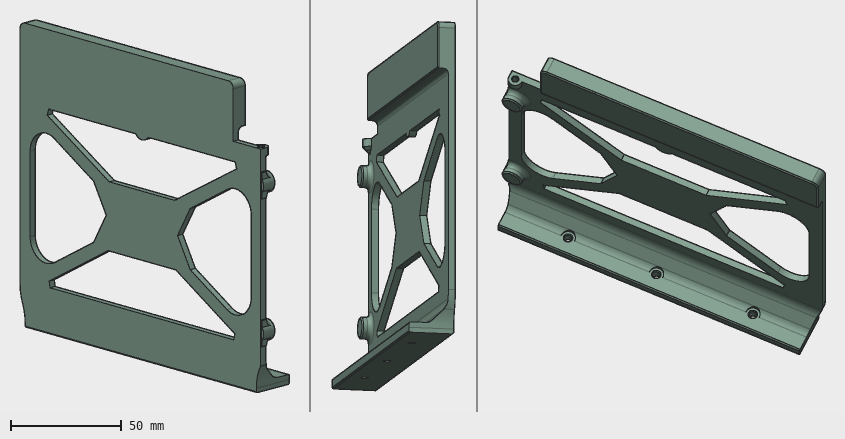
import cadquery as cq
import math

overall_width = 157.6
plate_width = 156.2
plate_thickness = 3.3
total_height = 142.7
small_chamfer = 0.6

bar_length = 138.4
bar_thickness = 8.2
bar_bottom = 120.9
bar_root_radius = 2.4
bar_corner_radius = 3.2
shoulder_height = 114.9

foot_depth = 20.8
foot_thickness = 4.7
root_chamfer = 7.9
root_lower_radius = 5.0
root_upper_radius = 7.0

foot_left = 3.3
foot_right = 153.4
end_curve_bottom = 2.2
left_curve_top = 19.7
right_curve_top = 13.2

center_x = 79.1
center_z = 63.4
strut_slope = math.tan(math.radians(30))
top_window_points = [(21.1, 79.5), (61.5, 102.5), (60.5, 105.5)]
bottom_window_points = [(22.0, 47.0), (60.2, 24.9), (59.6, 21.9)]
side_window_left = 6.6
side_window_right = 150.0
side_apex_offset = 23.2
side_shoulder_offset = 31.4
side_shoulder_rise = 14.3
side_window_radius = 10.4

tab_radius = 4.9
tab_drop = 2.0

foot_hole_xs = (30.1, 78.2, 122.2)
foot_hole_y = 13.1
foot_hole_diameter = 3.3
foot_countersink_diameter = 4.3
spotface_diameter = 6.6

boss_diameter = 10.0
boss_front = 0.5
boss_back = 8.2
boss_chamfer = 0.6
boss_root_radius = 2.4
boss_x = overall_width - boss_diameter / 2
boss_zs = (28.4, 97.7)
flange_right = 156.7

screw_x = 153.0
screw_boss_radius = 3.3
screw_boss_bottom = 111.3
screw_hole_diameter = 2.7
screw_countersink_diameter = 3.3
screw_hole_depth = 5.0


def extrude_back(sketch, depth):
    """Extrude an XZ sketch towards +Y."""
    return sketch.extrude(-depth)


def arc_radius(step, rise):
    """Radius of an arc that starts along Z and moves sideways by step over the given rise."""
    return (step**2 + rise**2) / (2 * step)


def front_outline():
    """Outer XZ shape, as deep as the foot."""
    left_middle = (foot_left / 2, (left_curve_top + end_curve_bottom) / 2)
    left_radius = arc_radius(foot_left / 2, (left_curve_top - end_curve_bottom) / 2)
    right_radius = arc_radius(plate_width - foot_right, right_curve_top - end_curve_bottom)
    sketch = (
        cq.Workplane("XZ")
        .moveTo(0, total_height)
        .lineTo(bar_length, total_height)
        .lineTo(bar_length, shoulder_height)
        .lineTo(plate_width, shoulder_height)
        .lineTo(plate_width, right_curve_top)
        .radiusArc((foot_right, end_curve_bottom), -right_radius)
        .lineTo(foot_right, 0)
        .lineTo(foot_left, 0)
        .lineTo(foot_left, end_curve_bottom)
        .radiusArc(left_middle, -left_radius)
        .radiusArc((0, left_curve_top), left_radius)
        .close()
    )
    body = extrude_back(sketch, foot_depth)
    return body.edges("|Y and >Z").fillet(bar_corner_radius)


def side_profile():
    """YZ section of bar, plate and foot, run along the full width."""
    body = (
        cq.Workplane("YZ")
        .polyline(
            [
                (0, 0),
                (foot_depth, 0),
                (foot_depth, foot_thickness),
                (plate_thickness + root_chamfer, foot_thickness),
                (plate_thickness, foot_thickness + root_chamfer),
                (plate_thickness, bar_bottom),
                (bar_thickness, bar_bottom),
                (bar_thickness, total_height),
                (0, total_height),
            ]
        )
        .close()
        .extrude(plate_width)
    )

    def edge_at(y, z):
        return cq.selectors.NearestToPointSelector((plate_width / 2, y, z))

    body = body.edges(edge_at(plate_thickness, bar_bottom)).fillet(bar_root_radius)
    body = body.edges(edge_at(plate_thickness + root_chamfer, foot_thickness)).fillet(root_lower_radius)
    body = body.edges(edge_at(plate_thickness, foot_thickness + root_chamfer)).fillet(root_upper_radius)
    return body.edges(edge_at(foot_depth, foot_thickness)).chamfer(small_chamfer)


def mirrored_window(half_points):
    """Window symmetric about the centre, from the (offset, Z) points of its +X half."""
    right_half = [(center_x + offset, z) for offset, z in half_points]
    left_half = [(center_x - offset, z) for offset, z in reversed(half_points)]
    return extrude_back(cq.Workplane("XZ").polyline(right_half + left_half).close(), plate_thickness)


def side_window(frame_x, direction):
    """Five-sided window between the struts and the frame; direction is -1 for -X, +1 for +X."""
    apex_x = center_x + direction * side_apex_offset
    shoulder_x = center_x + direction * side_shoulder_offset
    corner_rise = side_shoulder_rise + abs(frame_x - shoulder_x) * strut_slope
    sketch = (
        cq.Workplane("XZ")
        .polyline(
            [
                (apex_x, center_z),
                (shoulder_x, center_z + side_shoulder_rise),
                (frame_x, center_z + corner_rise),
                (frame_x, center_z - corner_rise),
                (shoulder_x, center_z - side_shoulder_rise),
            ]
        )
        .close()
    )
    frame_edges = "|Y and <X" if direction < 0 else "|Y and >X"
    return extrude_back(sketch, plate_thickness).edges(frame_edges).fillet(side_window_radius)


def window_tab():
    """Disc whose lower edge shows below the top edge of the upper window."""
    window_top = top_window_points[-1][1]
    sketch = cq.Workplane("XZ").center(center_x, window_top - tab_drop + tab_radius).circle(tab_radius)
    return extrude_back(sketch, plate_thickness)


def countersunk_hole(top, hole_diameter, countersink_diameter, depth):
    """Hole going down from the top workplane, with a 45 degree countersink."""
    countersink_depth = (countersink_diameter - hole_diameter) / 2
    hole = top.circle(hole_diameter / 2).extrude(-depth)
    cone = (
        top.circle(countersink_diameter / 2)
        .workplane(offset=-countersink_depth)
        .circle(hole_diameter / 2)
        .loft()
    )
    return hole.union(cone)


def foot_hole(x):
    """Through hole, countersink and spotface cut into the foot and its root."""
    top = cq.Workplane("XY", origin=(x, foot_hole_y, foot_thickness))
    hole = countersunk_hole(top, foot_hole_diameter, foot_countersink_diameter, foot_thickness)
    spotface = top.circle(spotface_diameter / 2).extrude(root_chamfer)
    return hole.union(spotface)


def side_boss(x, z):
    """Round boss behind the plate; its flared root is trimmed just past the plate side."""
    boss_radius = boss_diameter / 2
    flange_radius = boss_radius + boss_root_radius
    start = cq.Workplane("XZ", origin=(x, boss_front, z))
    boss = extrude_back(start.circle(boss_radius), boss_back - boss_front)
    boss = boss.faces(">Y").edges().chamfer(boss_chamfer)
    flare = (
        cq.Workplane("XY")
        .moveTo(0, boss_front)
        .lineTo(flange_radius, boss_front)
        .lineTo(flange_radius, plate_thickness)
        .radiusArc((boss_radius, plate_thickness + boss_root_radius), boss_root_radius)
        .lineTo(0, plate_thickness + boss_root_radius)
        .close()
        .revolve(360, (0, 0, 0), (0, 1, 0))
        .translate((x, 0, z))
    )
    trim = cq.Workplane("XY").box(flange_right, boss_back, total_height, centered=False)
    return boss.union(flare.intersect(trim))


def screw_boss():
    """Upright boss at the shoulder with a conical lower end, trimmed to the plate front and side."""
    boss_height = shoulder_height - screw_boss_bottom
    axis_start = (screw_x, plate_thickness, screw_boss_bottom)
    post = cq.Workplane("XY", origin=axis_start).circle(screw_boss_radius).extrude(boss_height)
    tip = cq.Solid.makeCone(
        screw_boss_radius, 0, screw_boss_radius, pnt=cq.Vector(*axis_start), dir=cq.Vector(0, 0, -1)
    )
    trim = cq.Workplane("XY").box(plate_width, foot_depth, total_height, centered=False)
    return post.union(cq.Workplane(tip)).intersect(trim)


def screw_hole():
    """Blind countersunk hole down the screw boss."""
    top = cq.Workplane("XY", origin=(screw_x, plate_thickness, shoulder_height))
    return countersunk_hole(top, screw_hole_diameter, screw_countersink_diameter, screw_hole_depth)


result = side_profile().intersect(front_outline())
bar_back_center = (bar_length / 2, bar_thickness, (bar_bottom + total_height) / 2)
bar_back = result.faces(cq.selectors.NearestToPointSelector(bar_back_center))
result = bar_back.edges().chamfer(small_chamfer)
result = result.faces("<Z").edges("|X").chamfer(small_chamfer)

result = result.cut(mirrored_window(top_window_points)).cut(mirrored_window(bottom_window_points))
result = result.cut(side_window(side_window_left, -1)).cut(side_window(side_window_right, 1))
result = result.union(window_tab())

for hole_x in foot_hole_xs:
    result = result.cut(foot_hole(hole_x))

for boss_z in boss_zs:
    result = result.union(side_boss(boss_x, boss_z))

result = result.union(screw_boss())
result = result.cut(screw_hole())